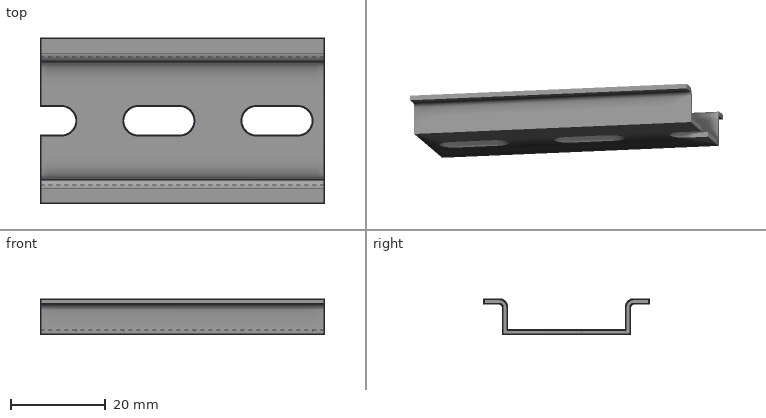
import cadquery as cq

length = 60.0
width = 35.0
height = 7.5
thickness = 1.0
channel_width = 27.0
bend_inner_radius = 0.8
bend_outer_radius = bend_inner_radius + thickness

slot_length = 15.0
slot_width = 6.2
slot_pitch = 25.0
slot_count = 3

half_width = width / 2
wall_outer = channel_width / 2
wall_inner = wall_outer - thickness
flange_underside = height - thickness


def rail_body():
    """Extruded hat section, centred on Y, with its floor on Z = 0."""
    section = (
        cq.Workplane("YZ")
        .moveTo(0, 0)
        .lineTo(wall_outer, 0)
        .lineTo(wall_outer, flange_underside - bend_inner_radius)
        .radiusArc((wall_outer + bend_inner_radius, flange_underside), bend_inner_radius)
        .lineTo(half_width, flange_underside)
        .lineTo(half_width, height)
        .lineTo(wall_inner + bend_outer_radius, height)
        .radiusArc((wall_inner, height - bend_outer_radius), -bend_outer_radius)
        .lineTo(wall_inner, thickness)
        .lineTo(0, thickness)
        .close()
    )
    half_rail = section.extrude(length)
    return half_rail.union(half_rail.mirror("XZ"))


def slot_cutter():
    """Round-ended slots along the floor centreline, starting at the X = 0 end."""
    centres = [(i * slot_pitch, 0) for i in range(slot_count)]
    return cq.Workplane("XY").pushPoints(centres).slot2D(slot_length, slot_width).extrude(thickness)


result = rail_body().cut(slot_cutter()).clean()